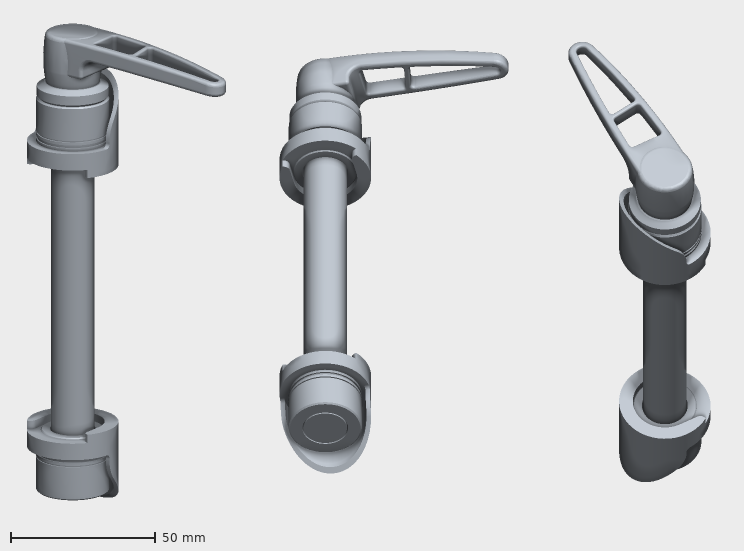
import cadquery as cq
import math

grip_length = 93.7
collar_radius = 15.875

collar_height = 2 * collar_radius
recess_depth = 3.0
shelf_height = 9.0
skirt_wall = 1.5875
stem_radius = 11.1125
skirt_bend_radius = 11.0
shelf_bend_radius = 1.6
recess_end = 9.0
recess_corner_radius = 2.2

barrel_radius = 12.7
barrel_length = 15.875
barrel_chamfer = 0.5
barrel_bore_radius = 7.9375
stem_projection = 0.4
stem_chamfer = 0.4
groove_depth = 0.5
grooves = [(1.05, 1.05), (3.15, 0.55)]

stud_radius = 7.5
flange_radius = 12.5
flange_chamfer = 0.8
flange_rim_height = 4.1
flange_cone_height = 1.55
flange_cone_radius = 10.0
hub_end_radius = 9.4
hub_waist_radius = 10.25
hub_height = 18.15
hub_top_fillet = 1.5

arm_tip_x = 65.025
arm_half_width = 9.1
arm_taper_start = 3.0
arm_tip_radius = 4.7
arm_edge_fillet = 1.2
arm_top_step = 0.1
arm_tip_top = 6.3
arm_tip_bottom = 11.2
arm_root_bottom = 6.5
arm_bottom_bow = 0.5
neck_x = 10.4
neck_bottom = 13.6
neck_radius = 4.0

window_wall = 2.8
window_start = 13.4
window_corner_radius = 1.2
window_edge_fillet = 0.7
rim_margin = 0.1
rib_x = 29.2
rib_width = 1.8
rib_angle = 9.0

cos_45 = math.sqrt(0.5)

collar_face = grip_length / 2
barrel_end = collar_face + shelf_height + barrel_length
hub_bottom = barrel_end + flange_rim_height + flange_cone_height
hub_top = hub_bottom + hub_height


def skirt_cutter():
    """Prism along X that leaves the shelf at -Y and a 45 degree skirt at +Y."""
    far = 2 * collar_height
    half_bend = math.radians(45) / 2
    setback = skirt_bend_radius * math.tan(half_bend)
    diagonal = setback * cos_45
    corner = collar_height - collar_radius
    bend_middle = (
        skirt_bend_radius * (1 - math.cos(half_bend)),
        corner - setback + skirt_bend_radius * math.sin(half_bend),
    )
    shelf_middle = shelf_bend_radius * (1 - cos_45)
    profile = (
        cq.Workplane("YZ")
        .moveTo(-far, shelf_height)
        .lineTo(-shelf_bend_radius, shelf_height)
        .threePointArc((-shelf_middle, shelf_height + shelf_middle), (0, shelf_height + shelf_bend_radius))
        .lineTo(0, corner - setback)
        .threePointArc(bend_middle, (diagonal, corner + diagonal))
        .lineTo(far, corner + far)
        .lineTo(-far, corner + far)
        .close()
    )
    return profile.extrude(2 * collar_radius, both=True)


def recess_cutter():
    """Round recess in the inner face, open towards -Y with rounded mouth corners."""
    mouth = stem_radius + recess_corner_radius
    straight_end = -recess_end + recess_corner_radius
    corner_shift = recess_corner_radius * (1 - cos_45)
    corner_middle = (stem_radius + corner_shift, -recess_end + corner_shift)
    return (
        cq.Workplane("XY")
        .moveTo(stem_radius, straight_end)
        .lineTo(stem_radius, 0)
        .threePointArc((0, stem_radius), (-stem_radius, 0))
        .lineTo(-stem_radius, straight_end)
        .threePointArc((-corner_middle[0], corner_middle[1]), (-mouth, -recess_end))
        .lineTo(-2 * collar_radius, -recess_end)
        .lineTo(-2 * collar_radius, -2 * collar_radius)
        .lineTo(2 * collar_radius, -2 * collar_radius)
        .lineTo(2 * collar_radius, -recess_end)
        .lineTo(mouth, -recess_end)
        .threePointArc(corner_middle, (stem_radius, straight_end))
        .close()
        .extrude(recess_depth)
    )


def make_collar():
    """Collar with its inner face on Z = 0 and its skirt rising along +Z."""
    collar = cq.Workplane("XY").circle(collar_radius).extrude(collar_height)
    pocket = (
        cq.Workplane("XY").workplane(offset=shelf_height)
        .circle(collar_radius - skirt_wall).extrude(collar_height)
    )
    bore = cq.Workplane("XY").circle(stem_radius).extrude(collar_height)
    return collar.cut(pocket).cut(bore).cut(skirt_cutter()).cut(recess_cutter())


def make_barrel():
    """Barrel placed as in a collar whose inner face is on Z = 0."""
    stem_start = recess_depth - stem_projection
    barrel = cq.Workplane("XY").workplane(offset=shelf_height).circle(barrel_radius).extrude(barrel_length)
    barrel = barrel.faces(">Z").chamfer(barrel_chamfer)
    stem = (
        cq.Workplane("XY").workplane(offset=stem_start)
        .circle(stem_radius).extrude(shelf_height - stem_start)
        .faces("<Z").chamfer(stem_chamfer)
    )
    barrel = barrel.union(stem)
    for height, width in grooves:
        groove = (
            cq.Workplane("XY").workplane(offset=shelf_height + height)
            .circle(2 * barrel_radius).circle(barrel_radius - groove_depth).extrude(width)
        )
        barrel = barrel.cut(groove)
    bore = cq.Workplane("XY").circle(barrel_bore_radius).extrude(2 * collar_height)
    return barrel.cut(bore)


def make_hub():
    """Stud, flange and barrel-shaped hub, turned about Z."""
    rim_top = barrel_end + flange_rim_height
    hub_middle = (hub_bottom + hub_top) / 2
    hub = (
        cq.Workplane("XZ")
        .moveTo(0, -barrel_end)
        .lineTo(stud_radius, -barrel_end)
        .lineTo(stud_radius, barrel_end)
        .lineTo(flange_radius - flange_chamfer, barrel_end)
        .lineTo(flange_radius, barrel_end + flange_chamfer)
        .lineTo(flange_radius, rim_top)
        .lineTo(flange_cone_radius, hub_bottom)
        .lineTo(hub_end_radius, hub_bottom)
        .threePointArc((hub_waist_radius, hub_middle), (hub_end_radius, hub_top))
        .lineTo(0, hub_top)
        .close()
        .revolve(360, (0, 0, 0), (0, 1, 0))
    )
    return hub.faces(">Z").edges().fillet(hub_top_fillet)


def arm_plan(inset):
    """Plan outline of the arm, drawn smaller by `inset`: level sides, bowed taper, round tip."""
    half_width = arm_half_width - inset
    tip_radius = arm_tip_radius - inset
    tip_centre = arm_tip_x - arm_tip_radius
    run = tip_centre - arm_taper_start
    drop = arm_half_width - arm_tip_radius
    bow_radius = (run ** 2 + drop ** 2) / (2 * drop) + arm_tip_radius - inset
    bow_centre = half_width - bow_radius
    end_angle = math.atan2(-bow_centre, run)

    def bow_point(angle):
        return (arm_taper_start + bow_radius * math.cos(angle), bow_centre + bow_radius * math.sin(angle))

    middle = bow_point((end_angle + math.pi / 2) / 2)
    end = bow_point(end_angle)
    return (
        cq.Workplane("XY").workplane(offset=hub_bottom)
        .moveTo(0, -half_width)
        .lineTo(arm_taper_start, -half_width)
        .threePointArc((middle[0], -middle[1]), (end[0], -end[1]))
        .threePointArc((tip_centre + tip_radius, 0), end)
        .threePointArc(middle, (arm_taper_start, half_width))
        .lineTo(0, half_width)
        .close()
        .extrude(hub_height)
    )


def arm_side():
    """Side profile of the arm: crowned top, concave neck under the root."""
    crown_z = hub_top - arm_top_step
    crown_drop = arm_tip_top - arm_top_step
    crown_radius = (arm_tip_x ** 2 + crown_drop ** 2) / (2 * crown_drop)
    half_angle = math.asin(arm_tip_x / crown_radius) / 2
    crown_middle = (
        crown_radius * math.sin(half_angle),
        crown_z - crown_radius * (1 - math.cos(half_angle)),
    )
    neck_shift = neck_radius * (1 - cos_45)
    root_x = neck_x + neck_radius
    root_z = hub_top - arm_root_bottom
    tip_z = hub_top - arm_tip_bottom
    bottom_middle = ((root_x + arm_tip_x) / 2, (root_z + tip_z) / 2 + arm_bottom_bow)
    return (
        cq.Workplane("XZ")
        .moveTo(0, crown_z)
        .threePointArc(crown_middle, (arm_tip_x, hub_top - arm_tip_top))
        .lineTo(arm_tip_x, tip_z)
        .threePointArc(bottom_middle, (root_x, root_z))
        .threePointArc((neck_x + neck_shift, root_z - neck_shift), (neck_x, root_z - neck_radius))
        .lineTo(neck_x, hub_top - neck_bottom)
        .lineTo(0, hub_top - neck_bottom)
        .close()
        .extrude(2 * collar_radius, both=True)
    )


def arm_windows():
    """Two window prisms inside the arm outline, parted by a slanted rib."""
    length = arm_tip_x - window_start
    limit = cq.Workplane("XY").box(length, 2 * arm_half_width, 2 * hub_top).translate(
        (window_start + length / 2, 0, hub_top)
    )
    rib = (
        cq.Workplane("XY").box(rib_width, 4 * arm_half_width, 4 * hub_top)
        .rotate((0, 0, 0), (0, 0, 1), rib_angle)
        .translate((rib_x, 0, 0))
    )
    return arm_plan(window_wall).intersect(limit).cut(rib).edges("|Z").fillet(window_corner_radius)


def make_lever():
    arm = arm_plan(0).intersect(arm_side())
    arm = arm.edges("not <X").edges("not |Z").fillet(arm_edge_fillet)
    windows = arm_windows()
    arm = arm.cut(windows)
    inside = arm_plan(window_wall - rim_margin).val()

    def is_window_rim(edge):
        centre = edge.Center()
        return centre.x > window_start - rim_margin and inside.isInside(centre)

    arm = arm.edges("not |Z").filter(is_window_rim).fillet(window_edge_fillet)
    return make_hub().union(arm)


def upper_and_lower(body):
    """The body on the upper collar face and its mirror image on the lower one."""
    upper = body.translate((0, 0, collar_face))
    return [upper.val(), upper.mirror("XY").val()]


collars = upper_and_lower(make_collar())
barrels = upper_and_lower(make_barrel())
lever = make_lever()

result = cq.Compound.makeCompound([*collars, *barrels, lever.val()])